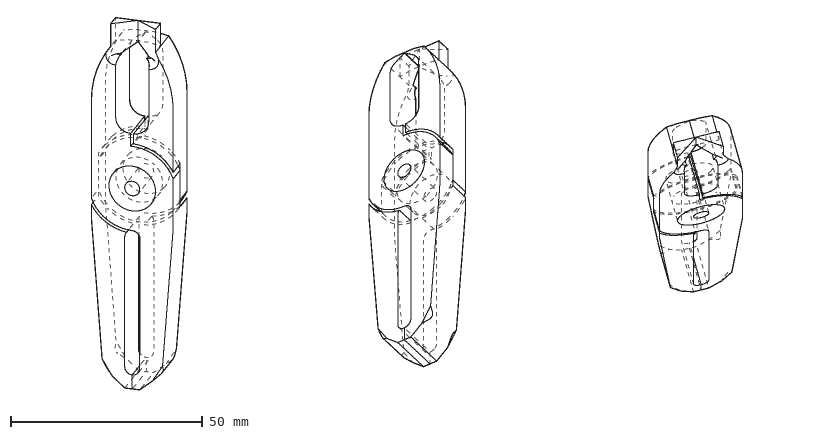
import cadquery as cq
import math

half_width = 11.2
thickness = 12.0
front_y = -thickness / 2
top_z = 45.8
tip_z = top_z - 103

disc_radius = 12.0
clearance_radius = 12.8
pin_radius = 6.4
pin_bore_radius = 2.1

shoulder_z = 23.8
beak_half_width = 6.2
beak_base_z = 39.3
beak_depth = 5.0
rear_top_z = 40.0
rear_flat_half_width = 3.0

opening_half_width = 4.5
opening_bottom_z = 15.7
opening_corner_z = 36.7
opening_apex_z = 39.8
opening_fillet = 4.0
slit_half_width = 0.4

relief_angle = math.radians(35)
relief_bottom_z = 37.1
relief_cone_radius = 2.5

taper_start_z = -10.0
handle_corner_x = 8.1
handle_corner_z = -51.9
tip_half_width = 2.1
handle_corner_fillet = 3.1
handle_slot_radius = 2.1
handle_slot_end_z = -53.1

corner_cut_top = (8.2, -49.6)
corner_cut_bottom = (5.6, -54.1)
corner_cut_depth = 1.8

clear_of_part = 10.3


def along_y(profile, start_y, end_y):
    """Extrude a closed profile, drawn in X and Z, from start_y to end_y."""
    return profile.extrude(start_y - end_y).translate((0, start_y, 0))


def xz():
    return cq.Workplane("XZ")


def cylinder(radius, start_y, end_y):
    return along_y(xz().circle(radius), start_y, end_y)


def jaw_opening():
    opening = along_y(
        xz().polyline([
            (-opening_half_width, opening_bottom_z),
            (opening_half_width, opening_bottom_z),
            (opening_half_width, opening_corner_z),
            (0, opening_apex_z),
            (-opening_half_width, opening_corner_z),
        ]).close(),
        front_y, -front_y,
    )
    side_corners = cq.selectors.BoxSelector(
        (-clear_of_part, front_y, 0),
        (clear_of_part, -front_y, (opening_corner_z + opening_apex_z) / 2),
    )
    return opening.edges("|Y").edges(side_corners).fillet(opening_fillet)


def beak_relief():
    """Sloping cut that thins the right beak outwards, ending below in a matching cone."""
    relief_edge_x = beak_depth / math.tan(relief_angle)
    slope = (
        cq.Workplane("XY", origin=(0, 0, relief_bottom_z))
        .polyline([
            (0, front_y + beak_depth),
            (relief_edge_x, front_y),
            (0, front_y),
        ])
        .close()
        .extrude(clear_of_part)
    )
    cone = cq.Solid.makeCone(
        relief_cone_radius, 0, relief_cone_radius * math.tan(relief_angle),
        pnt=cq.Vector(relief_edge_x - relief_cone_radius, front_y, relief_bottom_z),
        dir=cq.Vector(0, 1, 0),
    )
    return slope.union(cq.Workplane(cone))


def beak_rear_cut():
    """Space behind the beak, above the gently sloping rear top of the jaw."""
    return along_y(
        xz().polyline([
            (0, rear_top_z),
            (rear_flat_half_width, rear_top_z),
            (beak_half_width, beak_base_z),
            (beak_half_width, top_z),
            (0, top_z),
        ]).close(),
        front_y + beak_depth, -front_y,
    )


def right_jaw():
    blank = along_y(
        xz()
        .lineTo(half_width, 0)
        .lineTo(half_width, shoulder_z)
        .tangentArcPoint((beak_half_width, beak_base_z), relative=False)
        .lineTo(beak_half_width, top_z)
        .lineTo(0, top_z)
        .close(),
        front_y, -front_y,
    )
    slit = along_y(
        xz().center(0, (opening_bottom_z + disc_radius) / 2)
        .rect(2 * slit_half_width, opening_bottom_z - disc_radius),
        front_y, -front_y,
    )
    return blank.cut(slit).cut(jaw_opening()).cut(beak_relief()).cut(beak_rear_cut())


def corner_cut():
    """Wedge removed where the front face meets the outer corner of the right handle."""
    run_x = corner_cut_bottom[0] - corner_cut_top[0]
    run_z = corner_cut_bottom[1] - corner_cut_top[1]
    length = math.hypot(run_x, run_z)
    outward = (-run_z / length, 0, run_x / length)
    inset = ((handle_corner_x - corner_cut_top[0]) * outward[0]
             + (handle_corner_z - corner_cut_top[1]) * outward[2])
    reach = 2 * inset
    plane = cq.Plane(
        origin=(corner_cut_top[0], front_y, corner_cut_top[1]),
        xDir=outward,
        normal=(-run_x / length, 0, -run_z / length),
    )
    return (
        cq.Workplane(plane)
        .polyline([(0, 0), (reach, 0), (reach, reach * corner_cut_depth / inset)])
        .close()
        .extrude(length, both=True)
    )


def right_handle():
    blank = along_y(
        xz().polyline([
            (0, 0),
            (half_width, 0),
            (half_width, taper_start_z),
            (handle_corner_x, handle_corner_z),
            (tip_half_width, tip_z),
            (0, tip_z),
        ]).close(),
        front_y, -front_y,
    )
    outer_corner = cq.selectors.NearestToPointSelector((handle_corner_x, 0, handle_corner_z))
    blank = blank.edges("|Y").edges(outer_corner).fillet(handle_corner_fillet)

    slot_length = -disc_radius - handle_slot_end_z
    slot = along_y(
        xz().center(0, handle_slot_end_z + slot_length / 2)
        .slot2D(slot_length, 2 * handle_slot_radius, 90),
        front_y, -front_y,
    )
    front_cut = corner_cut()
    return blank.cut(slot).cut(front_cut).cut(front_cut.mirror("XZ"))


def plier_half(jaw, handle, disc_start_y):
    """Join a jaw and the opposite handle by a disc that fills half of the thickness."""
    disc_end_y = disc_start_y + thickness / 2
    other_start_y = front_y - disc_start_y
    clearance = cylinder(clearance_radius, other_start_y, other_start_y + thickness / 2)
    side_limit = cq.Workplane("XY").box(2 * half_width, thickness, 2 * clearance_radius)
    disc = cylinder(disc_radius, disc_start_y, disc_end_y).intersect(side_limit)
    pin_hole = cylinder(pin_radius, front_y, -front_y)
    return jaw.union(handle).cut(clearance).union(disc).cut(pin_hole)


def pivot_pin():
    return cylinder(pin_radius, front_y, -front_y).cut(cylinder(pin_bore_radius, front_y, -front_y))


jaw = right_jaw()
handle = right_handle()
front_half = plier_half(jaw.mirror("YZ"), handle, front_y)
back_half = plier_half(jaw, handle.mirror("YZ"), 0)
pin = pivot_pin()

result = cq.Compound.makeCompound([front_half.val(), back_half.val(), pin.val()])